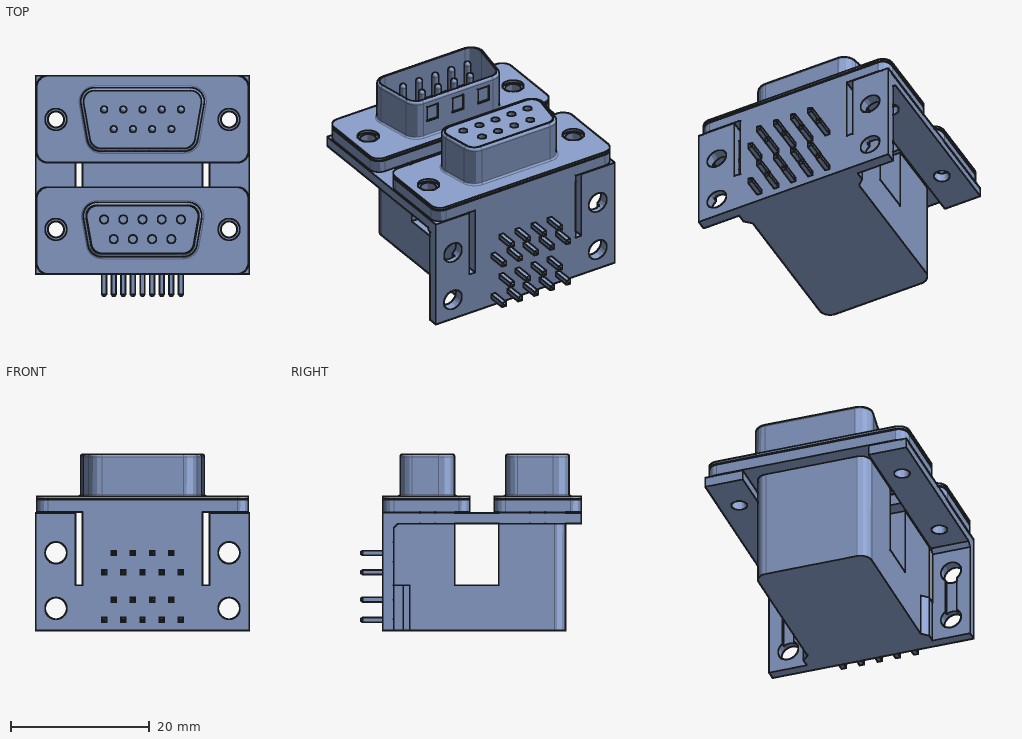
import cadquery as cq
import math


TOTAL_WIDTH = 30.8
TOTAL_DEPTH = 28.6
BRACKET_TOP = 16.97
BRACKET_THICKNESS = 1.55
BRACKET_INNER_X = 9.63
BRACKET_GUSSET = 0.65
MOUNT_HOLE_X = 12.45
EAR_HOLE_DIAMETER = 3.08
EAR_HOLE_HEIGHTS = (3.2, 11.22)
EAR_RELIEF_WIDTH = 1.78
EAR_RELIEF_DEPTH = 0.65

CORE_HALF_WIDTH = 8.65
CORE_REAR_Y = 26.35
CORE_REAR_RADIUS = 1.7
WINDOW_BOTTOM = 6.55
WINDOW_FRONT_Y = 10.4
WINDOW_REAR_Y = 16.7
FOOT_STRAIGHT_DEPTH = 2.92

FLANGE_WIDTH = 30.5
FLANGE_DEPTH = 12.55
FLANGE_BOTTOM = 17.05
FLANGE_TOP = 19.4
FLANGE_RADIUS = 1.6
SHEET_THICKNESS = 0.4
SEAM = 0.1
FLANGE_HOLE_DIAMETER = 2.3
FLANGE_RECESS_DIAMETER = 3.1
FRONT_HOLE_Y = 6.45
ROW_TO_ROW = 15.83

SHELL_TOP = 25.42
SHELL_WALL = 0.4
SHELL_RIM_RADIUS = 0.38
SHELL_FOOT_RADIUS = 0.25
SHELL_CORNER_RADIUS = 2.0
SHELL_SLOPE = math.radians(10)
INSERT_GAP = 0.1
FEMALE_SHELL = (8.93, 10.35, 2.5)
MALE_SHELL = (9.28, 26.85, 17.7)
DIMPLE_WIDTH = 1.9
DIMPLE_HEIGHT = 2.4
DIMPLE_DEPTH = 0.25
DIMPLE_BOTTOM = 21.8
DIMPLE_SPACING = 4.4

LONG_ROW_COUNT = 5
SHORT_ROW_COUNT = 4
CONTACT_PITCH = 2.75
CONTACT_ROW_PITCH = 2.83
CONTACT_LONG_ROW_OFFSET = 1.43
SOCKET_DIAMETER = 1.2
SOCKET_DEPTH = 5.1
PIN_DIAMETER = 0.95
PIN_TOP = 25.1
TAIL_SIZE = 0.7
TAIL_LENGTH = 3.18
TAIL_TIP_LENGTH = 0.32
TAIL_TIP_INSET = 0.22
LONG_TAIL_ROW_HEIGHTS = (1.55, 8.42)
SHORT_TAIL_ROW_HEIGHTS = (4.48, 11.2)


def box(x_min, x_max, y_min, y_max, z_min, z_max):
    size = (x_max - x_min, y_max - y_min, z_max - z_min)
    return cq.Workplane("XY").box(*size, centered=False).translate((x_min, y_min, z_min))


def row_positions(count):
    """X positions of a centred row of contacts."""
    return [(i - (count - 1) / 2) * CONTACT_PITCH for i in range(count)]


def contact_points(hole_y):
    """Centres of the long rear row and the short front row of one connector."""
    long_row_y = hole_y + CONTACT_LONG_ROW_OFFSET
    short_row_y = long_row_y - CONTACT_ROW_PITCH
    long_row = [(x, long_row_y) for x in row_positions(LONG_ROW_COUNT)]
    return long_row + [(x, short_row_y) for x in row_positions(SHORT_ROW_COUNT)]


def bracket_side():
    """L-shaped bracket on the +X side; a relief behind the ear joins its two holes."""
    under_plate = BRACKET_TOP - BRACKET_THICKNESS
    profile = [
        (0, 0),
        (BRACKET_THICKNESS, 0),
        (BRACKET_THICKNESS, under_plate - BRACKET_GUSSET),
        (BRACKET_THICKNESS + BRACKET_GUSSET, under_plate),
        (TOTAL_DEPTH, under_plate),
        (TOTAL_DEPTH, BRACKET_TOP),
        (0, BRACKET_TOP),
    ]
    width = TOTAL_WIDTH / 2 - BRACKET_INNER_X
    side = cq.Workplane("YZ", origin=(BRACKET_INNER_X, 0, 0)).polyline(profile).close().extrude(width)
    ear_holes = (
        cq.Workplane("XZ")
        .pushPoints([(MOUNT_HOLE_X, z) for z in EAR_HOLE_HEIGHTS])
        .circle(EAR_HOLE_DIAMETER / 2)
        .extrude(-BRACKET_THICKNESS)
    )
    plate_holes = (
        cq.Workplane("XY")
        .pushPoints([(MOUNT_HOLE_X, y) for y in (FRONT_HOLE_Y, FRONT_HOLE_Y + ROW_TO_ROW)])
        .circle(FLANGE_HOLE_DIAMETER / 2)
        .extrude(BRACKET_TOP)
    )
    relief = box(
        MOUNT_HOLE_X - EAR_RELIEF_WIDTH / 2,
        MOUNT_HOLE_X + EAR_RELIEF_WIDTH / 2,
        BRACKET_THICKNESS - EAR_RELIEF_DEPTH,
        BRACKET_THICKNESS,
        *EAR_HOLE_HEIGHTS,
    )
    return side.cut(ear_holes).cut(relief).cut(plate_holes)


def core():
    """Central block with a cross window, plus the wider foot that carries the bracket."""
    body = box(-CORE_HALF_WIDTH, CORE_HALF_WIDTH, 0, CORE_REAR_Y, 0, FLANGE_BOTTOM)
    body = body.edges("|Z and >Y").fillet(CORE_REAR_RADIUS)
    window = box(
        -CORE_HALF_WIDTH, CORE_HALF_WIDTH, WINDOW_FRONT_Y, WINDOW_REAR_Y, WINDOW_BOTTOM, FLANGE_BOTTOM
    )
    foot_step = BRACKET_INNER_X - CORE_HALF_WIDTH
    foot = (
        cq.Workplane("XY")
        .moveTo(-BRACKET_INNER_X, 0)
        .lineTo(BRACKET_INNER_X, 0)
        .lineTo(BRACKET_INNER_X, FOOT_STRAIGHT_DEPTH)
        .lineTo(CORE_HALF_WIDTH, FOOT_STRAIGHT_DEPTH + foot_step)
        .lineTo(-CORE_HALF_WIDTH, FOOT_STRAIGHT_DEPTH + foot_step)
        .lineTo(-BRACKET_INNER_X, FOOT_STRAIGHT_DEPTH)
        .close()
        .extrude(WINDOW_BOTTOM)
    )
    return body.cut(window).union(foot)


def flange_slab(front_y, z_min, z_max, inset=0.0):
    """Round-cornered slab of the flange outline, shrunk all round by the inset."""
    half_width = FLANGE_WIDTH / 2 - inset
    slab = box(-half_width, half_width, front_y + inset, front_y + FLANGE_DEPTH - inset, z_min, z_max)
    return slab.edges("|Z").fillet(FLANGE_RADIUS - inset)


def flange(front_y):
    """Plastic flange and metal face sheet, parted by a fine seam around the edge."""
    sheet_bottom = FLANGE_TOP - SHEET_THICKNESS
    plastic = flange_slab(front_y, FLANGE_BOTTOM, sheet_bottom - SEAM)
    seam = flange_slab(front_y, sheet_bottom - SEAM, sheet_bottom, inset=SEAM)
    sheet = flange_slab(front_y, sheet_bottom, FLANGE_TOP)
    return plastic.union(seam).union(sheet)


def flange_holes(hole_y):
    """Stepped mounting holes of one flange, as a cutting tool."""
    points = [(-MOUNT_HOLE_X, hole_y), (MOUNT_HOLE_X, hole_y)]
    through = (
        cq.Workplane("XY", origin=(0, 0, FLANGE_BOTTOM))
        .pushPoints(points)
        .circle(FLANGE_HOLE_DIAMETER / 2)
        .extrude(FLANGE_TOP - FLANGE_BOTTOM)
    )
    recess = (
        cq.Workplane("XY", origin=(0, 0, FLANGE_TOP))
        .pushPoints(points)
        .circle(FLANGE_RECESS_DIAMETER / 2)
        .extrude(-SHEET_THICKNESS)
    )
    return through.union(recess)


def d_prism(shell, inset, z_max):
    """D-shaped prism standing on the flange, its outline shrunk by the inset."""
    rear_half_width, rear_y, front_y = shell
    side_shift = inset / math.cos(SHELL_SLOPE)

    def half_width(y):
        return rear_half_width - (rear_y - y) * math.tan(SHELL_SLOPE) - side_shift

    rear = rear_y - inset
    front = front_y + inset
    corners = [
        (-half_width(front), front),
        (half_width(front), front),
        (half_width(rear), rear),
        (-half_width(rear), rear),
    ]
    prism = cq.Workplane("XY", origin=(0, 0, FLANGE_TOP)).polyline(corners).close()
    return prism.extrude(z_max - FLANGE_TOP).edges("|Z").fillet(SHELL_CORNER_RADIUS - inset)


def add_shell(body, shell):
    """Join a hollow D shell to the flange, with a rounded rim and a flared foot."""
    outer = d_prism(shell, 0, SHELL_TOP).faces(">Z").edges().fillet(SHELL_RIM_RADIUS)
    joined = body.union(outer)
    half_width, rear_y, front_y = shell
    margin = SHELL_FOOT_RADIUS / 2
    foot_edges = cq.selectors.BoxSelector(
        (-half_width, front_y - margin, FLANGE_TOP - margin),
        (half_width, rear_y + margin, FLANGE_TOP + margin),
    )
    joined = joined.edges(foot_edges).fillet(SHELL_FOOT_RADIUS)
    return joined.cut(d_prism(shell, SHELL_WALL, SHELL_TOP))


def female_connector():
    """Front flange, shell and socket insert."""
    sockets = (
        cq.Workplane("XY", origin=(0, 0, SHELL_TOP))
        .pushPoints(contact_points(FRONT_HOLE_Y))
        .circle(SOCKET_DIAMETER / 2)
        .extrude(-SOCKET_DEPTH)
    )
    insert = d_prism(FEMALE_SHELL, SHELL_WALL + INSERT_GAP, SHELL_TOP).cut(sockets)
    body = add_shell(flange(0), FEMALE_SHELL)
    return body.union(insert).cut(flange_holes(FRONT_HOLE_Y))


def male_connector():
    """Rear flange, open shell with grip dimples and round-nosed pins."""
    hole_y = FRONT_HOLE_Y + ROW_TO_ROW
    body = add_shell(flange(TOTAL_DEPTH - FLANGE_DEPTH), MALE_SHELL)
    _, _, front_y = MALE_SHELL
    for i in (-1, 0, 1):
        left = i * DIMPLE_SPACING - DIMPLE_WIDTH / 2
        dimple = box(
            left,
            left + DIMPLE_WIDTH,
            front_y,
            front_y + DIMPLE_DEPTH,
            DIMPLE_BOTTOM,
            DIMPLE_BOTTOM + DIMPLE_HEIGHT,
        )
        body = body.cut(dimple)
    pin_radius = PIN_DIAMETER / 2
    pins = (
        cq.Workplane("XY", origin=(0, 0, FLANGE_TOP))
        .pushPoints(contact_points(hole_y))
        .circle(pin_radius)
        .extrude(PIN_TOP - pin_radius - FLANGE_TOP)
    )
    noses = (
        cq.Workplane("XY", origin=(0, 0, PIN_TOP - pin_radius))
        .pushPoints(contact_points(hole_y))
        .sphere(pin_radius)
    )
    return body.union(pins).union(noses).cut(flange_holes(hole_y))


def tails():
    """Square solder tails with chamfered tips, in four staggered rows."""
    points = [(x, z) for z in LONG_TAIL_ROW_HEIGHTS for x in row_positions(LONG_ROW_COUNT)]
    points += [(x, z) for z in SHORT_TAIL_ROW_HEIGHTS for x in row_positions(SHORT_ROW_COUNT)]
    bars = cq.Workplane("XZ").pushPoints(points).rect(TAIL_SIZE, TAIL_SIZE).extrude(TAIL_LENGTH)
    return bars.faces("<Y").chamfer(TAIL_TIP_LENGTH, TAIL_TIP_INSET)


right_bracket = bracket_side()
result = (
    core()
    .union(right_bracket)
    .union(right_bracket.mirror("YZ"))
    .union(female_connector())
    .union(male_connector())
    .union(tails())
)